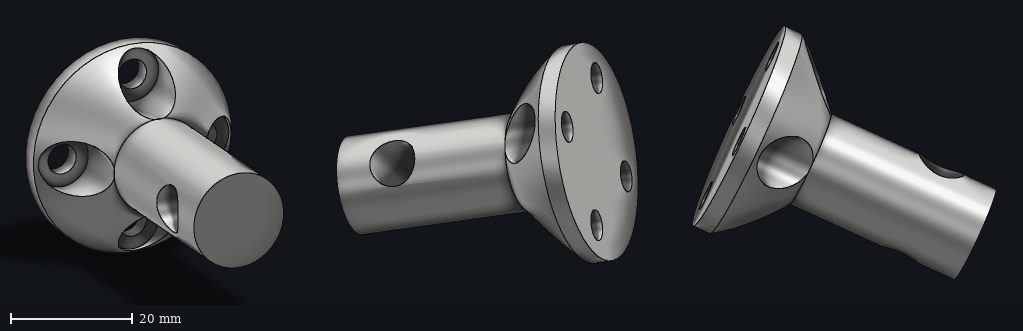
import cadquery as cq

total_length = 43.0
flange_diameter = 36.38
flange_thickness = 3.0
cone_end = 13.0
shaft_diameter = 16.5
cone_bulge = 0.65

hole_count = 4
hole_diameter = 5.1
hole_circle_radius = 12.9
counterbore_diameter = 9.5
counterbore_floor = flange_thickness

cross_hole_diameter = 8.0
cross_hole_x = 33.02


def make_body():
    """Flange, cone and shaft as one turned profile."""
    flange_radius = flange_diameter / 2
    shaft_radius = shaft_diameter / 2
    profile = (
        cq.Workplane("XY")
        .lineTo(0, flange_radius)
        .lineTo(flange_thickness, flange_radius)
        .sagittaArc((cone_end, shaft_radius), cone_bulge)
        .lineTo(total_length, shaft_radius)
        .lineTo(total_length, 0)
        .close()
    )
    return profile.revolve(360, (0, 0, 0), (1, 0, 0))


def mounting_cylinders(diameter, start, end):
    """Cylinders along X on the mounting circle, at +/-Y and +/-Z."""
    return (
        cq.Workplane("YZ", origin=(start, 0, 0))
        .polarArray(hole_circle_radius, 0, 360, hole_count)
        .circle(diameter / 2)
        .extrude(end - start)
    )


def make_cross_hole():
    """Cylinder along Y that passes through the whole shaft."""
    return (
        cq.Workplane("XZ", origin=(cross_hole_x, 0, 0))
        .circle(cross_hole_diameter / 2)
        .extrude(shaft_diameter, both=True)
    )


result = (
    make_body()
    .cut(mounting_cylinders(hole_diameter, 0, cone_end))
    .cut(mounting_cylinders(counterbore_diameter, counterbore_floor, cone_end))
    .cut(make_cross_hole())
)